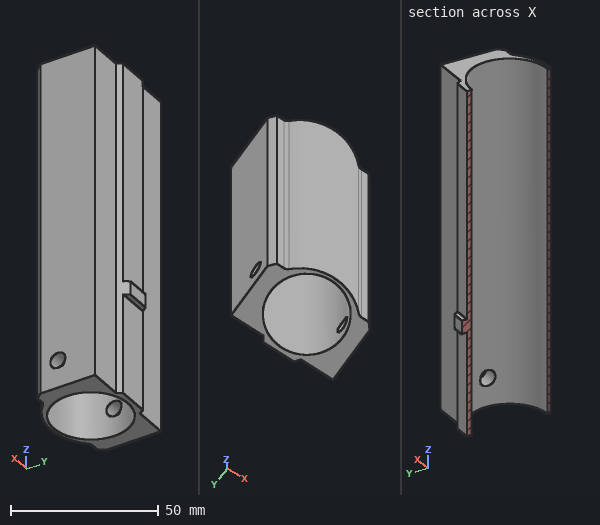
import cadquery as cq

length = 133.0
half_width = 21.0
bore_radius = 14.9
back_y = 14.9
flange_y = -9.6
chamfer_width = 2.1
chamfer_depth = 2.5

front_y = -16.2
bulge_radius = 20.2
bulge_center_y = front_y + bulge_radius
bulge_half_width = (bulge_radius**2 - (bulge_center_y - flange_y) ** 2) ** 0.5
root_fillet = 2.3

rib_y = 16.9
tab_y = 18.9
rib_base_half_width = 7.7
tab_tip_half_width = 4.8
tab_bottom_z = 39.9
tab_height = 5.3

hole_diameter = 6.0
hole_z = 11.0


def make_body():
    """Square-backed extrusion with chamfered flanges and a bulged front."""
    body = (
        cq.Workplane("XY")
        .moveTo(-half_width, back_y)
        .lineTo(half_width, back_y)
        .lineTo(half_width, flange_y + chamfer_depth)
        .lineTo(half_width - chamfer_width, flange_y)
        .lineTo(bulge_half_width, flange_y)
        .threePointArc((0, front_y), (-bulge_half_width, flange_y))
        .lineTo(-half_width + chamfer_width, flange_y)
        .lineTo(-half_width, flange_y + chamfer_depth)
        .close()
        .extrude(length)
    )
    for side in (-1, 1):
        root = cq.selectors.NearestToPointSelector((side * bulge_half_width, flange_y, length / 2))
        body = body.edges("|Z").edges(root).fillet(root_fillet)
    return body


def make_tapered_bar(top_y, bottom_z, height):
    """Bar on the back face with tapered flanks, ending at top_y."""
    taper = (rib_base_half_width - tab_tip_half_width) / (tab_y - back_y)
    top_half_width = rib_base_half_width - taper * (top_y - back_y)
    return (
        cq.Workplane("XY", origin=(0, 0, bottom_z))
        .polyline(
            [
                (-rib_base_half_width, 0),
                (-rib_base_half_width, back_y),
                (-top_half_width, top_y),
                (top_half_width, top_y),
                (rib_base_half_width, back_y),
                (rib_base_half_width, 0),
            ]
        )
        .close()
        .extrude(height)
    )


rib = make_tapered_bar(rib_y, 0, length)
tab = make_tapered_bar(tab_y, tab_bottom_z, tab_height)
bore = cq.Workplane("XY").circle(bore_radius).extrude(length)
cross_hole = (
    cq.Workplane("YZ", origin=(0, 0, hole_z))
    .circle(hole_diameter / 2)
    .extrude(half_width, both=True)
)

result = make_body().union(rib).union(tab).cut(bore).cut(cross_hole)